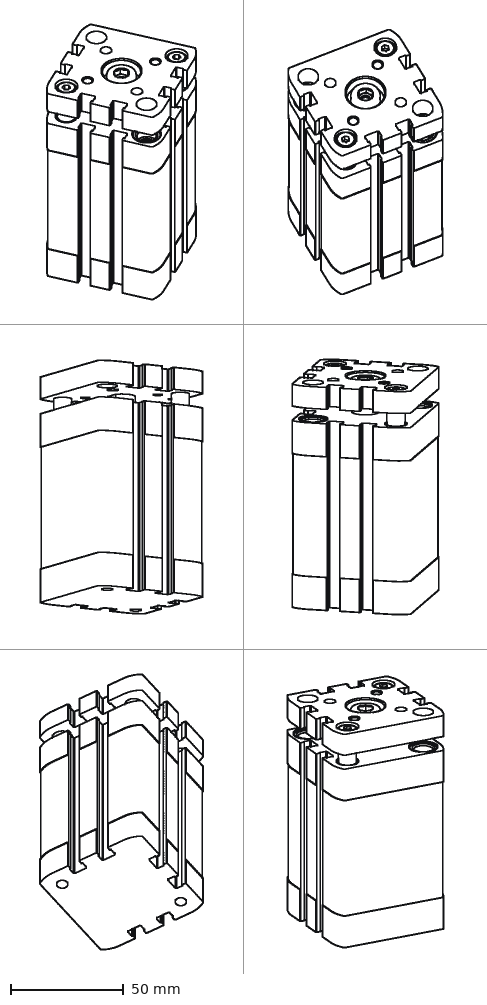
import cadquery as cq
import math

WIDTH = 54.5
HEIGHT = 101.6
PLATE_THICK = 10.0
GAP = 6.6
CAP_HEIGHT = 15.0
TUBE_STEP = 0.3
PLATE_Z = HEIGHT - PLATE_THICK
HOUSING_TOP = PLATE_Z - GAP

CORNER_RADIUS = 15.0
ARC_START_Y = 19.0
CORNER_FILLET = 1.0

SLOT_SPACING = 15.1
SLOT_MOUTH = 5.7
SLOT_WIDTH = 6.9
SLOT_DEPTH = 5.6
SLOT_LIP = 2.0
MOUTH_CHAMFER = 0.3
FLOOR_CHAMFER = 0.4
SLOT_SIDES = (-90, 0, 180)

CORNER_OFFSET = 19.0
PIN_OFFSET = 11.7
ROD_POINTS = [(-CORNER_OFFSET, -CORNER_OFFSET), (CORNER_OFFSET, CORNER_OFFSET)]
SCREW_POINTS = [(-CORNER_OFFSET, CORNER_OFFSET), (CORNER_OFFSET, -CORNER_OFFSET)]
THREAD_POINTS = [(-PIN_OFFSET, -PIN_OFFSET), (PIN_OFFSET, PIN_OFFSET)]
PIN_POINTS = [(-PIN_OFFSET, PIN_OFFSET), (PIN_OFFSET, -PIN_OFFSET)]

BORE_DEPTH = CAP_HEIGHT
GUIDE_DIA = 8.0
GUIDE_RIM_DIA = 10.0
GUIDE_SEAT_DIA = 9.0
PISTON_DIA = 12.0
FLAT_WIDTH = 10.0
FLAT_LENGTH = 5.0

SCREW_RIM_DIA = 13.0
SCREW_SEAT_DIA = 12.0
SOCKET_RIM_DIA = 10.0
SOCKET_DIA = 8.5
SOCKET_DEPTH = 4.3
THROUGH_RIM_DIA = 6.0
THROUGH_DIA = 5.0

ACCESS_DIA = 9.0
PIN_DIA = 5.0
THREAD_DIA = 4.0

RECESS_RIM_DIA = 18.2
RECESS_DIA = 17.0
RECESS_DEPTH = 6.0
HEAD_DIA = 13.0
HEAD_FILLET = 0.8
HEAD_BELOW = 1.2
HEAD_HEX = 6.0
HEAD_HEX_DEPTH = 3.0
HEAD_HOLE_RIM_DIA = 7.0
DRILL_DIA = 4.2
DRILL_DEPTH = 5.0
DRILL_SLOPE = math.tan(math.pi / 6)

GUIDE_RECESS_DIA = 10.0
GUIDE_RECESS_DEPTH = 2.0
GUIDE_HEAD_DIA = 8.5
GUIDE_HEAD_TOP_DIA = 7.5
GUIDE_HEAD_BELOW = 0.7
GUIDE_HEX = 3.0
GUIDE_HEX_DEPTH = 2.5
GUIDE_HEX_TURN = 15


def cylinders(points, diameter, bottom, top):
    """Upright cylinders between two heights."""
    return (
        cq.Workplane("XY").workplane(offset=bottom)
        .pushPoints(points).circle(diameter / 2).extrude(top - bottom)
    )


def cones(points, lower_dia, bottom, upper_dia, top):
    """Upright cones between two heights; a lower diameter of 0 gives a point."""
    cone = cq.Solid.makeCone(
        lower_dia / 2, upper_dia / 2, top - bottom, cq.Vector(0, 0, bottom), cq.Vector(0, 0, 1)
    )
    return cq.Workplane("XY").pushPoints(points).eachpoint(lambda place: cone.moved(place))


def countersinks(points, lower_dia, upper_dia, top):
    """45 degree cones that widen up to the height `top`."""
    return cones(points, lower_dia, top - (upper_dia - lower_dia) / 2, upper_dia, top)


def hexagons(points, across_flats, bottom, top, turn=0):
    """Upright hexagonal prisms; unturned ones have corners on the X axis."""
    corner_dia = across_flats / math.cos(math.pi / 6)
    prism = (
        cq.Workplane("XY").workplane(offset=bottom)
        .polygon(6, corner_dia).extrude(top - bottom)
        .rotate((0, 0, 0), (0, 0, 1), turn).val()
    )
    return cq.Workplane("XY").pushPoints(points).eachpoint(lambda place: prism.moved(place))


def profile_block(inset, bottom, top):
    """Square block with bowed corners, set back by `inset` from the full outline."""
    half = WIDTH / 2 - inset
    radius = CORNER_RADIUS - inset
    centre_x = half - radius
    rise = half - ARC_START_Y
    end_x = centre_x + math.sqrt(radius**2 - rise**2)
    middle_angle = math.asin(rise / radius) / 2
    mid_x = centre_x + radius * math.cos(middle_angle)
    mid_y = ARC_START_Y + radius * math.sin(middle_angle)
    block = (
        cq.Workplane("XY").workplane(offset=bottom)
        .moveTo(half, -ARC_START_Y)
        .lineTo(half, ARC_START_Y)
        .threePointArc((mid_x, mid_y), (end_x, half))
        .lineTo(-end_x, half)
        .threePointArc((-mid_x, mid_y), (-half, ARC_START_Y))
        .lineTo(-half, -ARC_START_Y)
        .threePointArc((-mid_x, -mid_y), (-end_x, -half))
        .lineTo(end_x, -half)
        .threePointArc((mid_x, -mid_y), (half, -ARC_START_Y))
        .close().extrude(top - bottom)
    )
    return block.edges("|Z").edges(">Y or <Y").fillet(CORNER_FILLET)


def slot_cutter(bottom, top):
    """T-slot opening to +X, with chamfered mouth edges and floor corners."""
    face = WIDTH / 2
    lip = face - SLOT_LIP
    floor = face - SLOT_DEPTH
    mouth = SLOT_MOUTH / 2
    room = SLOT_WIDTH / 2
    upper_half = [
        (face, mouth + MOUTH_CHAMFER),
        (face - MOUTH_CHAMFER, mouth),
        (lip, mouth),
        (lip, room),
        (floor + FLOOR_CHAMFER, room),
        (floor, room - FLOOR_CHAMFER),
    ]
    lower_half = [(x, -y) for x, y in reversed(upper_half)]
    return (
        cq.Workplane("XY").workplane(offset=bottom)
        .polyline(upper_half + lower_half).close().extrude(top - bottom)
    )


def cut_slots(body, bottom, top):
    """Cut a pair of T-slots into each slotted face."""
    slot = slot_cutter(bottom, top)
    for direction in SLOT_SIDES:
        for side in (-1, 1):
            shifted = slot.translate((0, side * SLOT_SPACING / 2, 0))
            body = body.cut(shifted.rotate((0, 0, 0), (0, 0, 1), direction))
    return body


def make_housing():
    """Two end caps and a tube, with rod bores and hollow corner screws."""
    tube_bottom = CAP_HEIGHT
    tube_top = HOUSING_TOP - CAP_HEIGHT
    body = profile_block(0, 0, tube_bottom)
    body = body.union(profile_block(TUBE_STEP, tube_bottom, tube_top))
    body = body.union(profile_block(0, tube_top, HOUSING_TOP))
    body = cut_slots(body, 0, HOUSING_TOP)

    bore_floor = HOUSING_TOP - BORE_DEPTH
    body = body.cut(cylinders([(0, 0)], PISTON_DIA, bore_floor, HOUSING_TOP))
    body = body.cut(cylinders(ROD_POINTS, GUIDE_DIA, bore_floor, HOUSING_TOP))
    body = body.cut(countersinks(ROD_POINTS, GUIDE_SEAT_DIA, GUIDE_RIM_DIA, HOUSING_TOP))

    head_top = HOUSING_TOP - (SCREW_RIM_DIA - SCREW_SEAT_DIA) / 2
    socket_floor = head_top - SOCKET_DEPTH
    body = body.cut(countersinks(SCREW_POINTS, SCREW_SEAT_DIA, SCREW_RIM_DIA, HOUSING_TOP))
    body = body.cut(countersinks(SCREW_POINTS, SOCKET_DIA, SOCKET_RIM_DIA, head_top))
    body = body.cut(cylinders(SCREW_POINTS, SOCKET_DIA, socket_floor, head_top))
    body = body.cut(countersinks(SCREW_POINTS, THROUGH_DIA, THROUGH_RIM_DIA, socket_floor))
    return body.cut(cylinders(SCREW_POINTS, THROUGH_DIA, 0, socket_floor))


def make_piston_rod():
    """Rod with wrench flats under the plate."""
    rod = cylinders([(0, 0)], PISTON_DIA, HOUSING_TOP - BORE_DEPTH, PLATE_Z)
    flat_room = (
        cq.Workplane("XY").workplane(offset=PLATE_Z - FLAT_LENGTH)
        .rect(WIDTH, WIDTH).rect(WIDTH, FLAT_WIDTH).extrude(FLAT_LENGTH)
    )
    return rod.cut(flat_room)


def add_piston_head(plate):
    """Chamfered recess around a rounded head with a hexagon socket."""
    centre = [(0, 0)]
    head_top = HEIGHT - HEAD_BELOW
    recess_floor = HEIGHT - RECESS_DEPTH
    plate = plate.cut(cylinders(centre, RECESS_DIA, recess_floor, HEIGHT))
    plate = plate.cut(countersinks(centre, RECESS_DIA, RECESS_RIM_DIA, HEIGHT))
    head = cylinders(centre, HEAD_DIA, recess_floor, head_top)
    plate = plate.union(head.faces(">Z").edges().fillet(HEAD_FILLET))

    hex_floor = head_top - HEAD_HEX_DEPTH
    drill_top = hex_floor - (HEAD_HEX - DRILL_DIA) / 2 * DRILL_SLOPE
    drill_floor = head_top - DRILL_DEPTH
    drill_tip = drill_floor - DRILL_DIA / 2 * DRILL_SLOPE
    plate = plate.cut(hexagons(centre, HEAD_HEX, hex_floor, head_top))
    plate = plate.cut(countersinks(centre, HEAD_HEX, HEAD_HOLE_RIM_DIA, head_top))
    plate = plate.cut(cones(centre, DRILL_DIA, drill_top, HEAD_HEX, hex_floor))
    plate = plate.cut(cylinders(centre, DRILL_DIA, drill_floor, drill_top))
    return plate.cut(cones(centre, 0, drill_tip, DRILL_DIA, drill_floor))


def add_guide_heads(plate):
    """Recessed screw heads above the guide rods."""
    head_top = HEIGHT - GUIDE_HEAD_BELOW
    head_shoulder = head_top - (GUIDE_HEAD_DIA - GUIDE_HEAD_TOP_DIA) / 2
    recess_floor = HEIGHT - GUIDE_RECESS_DEPTH
    plate = plate.cut(cylinders(ROD_POINTS, GUIDE_RECESS_DIA, recess_floor, HEIGHT))
    plate = plate.union(cylinders(ROD_POINTS, GUIDE_HEAD_DIA, recess_floor, head_shoulder))
    plate = plate.union(cones(ROD_POINTS, GUIDE_HEAD_DIA, head_shoulder, GUIDE_HEAD_TOP_DIA, head_top))
    return plate.cut(hexagons(ROD_POINTS, GUIDE_HEX, head_top - GUIDE_HEX_DEPTH, head_top, GUIDE_HEX_TURN))


def make_slide():
    """Yoke plate with the piston rod and the two guide rods."""
    plate = cut_slots(profile_block(0, PLATE_Z, HEIGHT), PLATE_Z, HEIGHT)
    plate = plate.cut(cylinders(SCREW_POINTS, ACCESS_DIA, PLATE_Z, HEIGHT))
    plate = plate.cut(cylinders(PIN_POINTS, PIN_DIA, PLATE_Z, HEIGHT))
    plate = plate.cut(cylinders(THREAD_POINTS, THREAD_DIA, PLATE_Z, HEIGHT))
    plate = plate.cut(countersinks(THREAD_POINTS, THREAD_DIA, PIN_DIA, HEIGHT))
    plate = add_guide_heads(add_piston_head(plate))
    plate = plate.union(make_piston_rod())
    return plate.union(cylinders(ROD_POINTS, GUIDE_DIA, HOUSING_TOP - BORE_DEPTH, PLATE_Z))


housing = make_housing()
slide = make_slide()
result = cq.Compound.makeCompound([housing.solids().val(), slide.solids().val()])